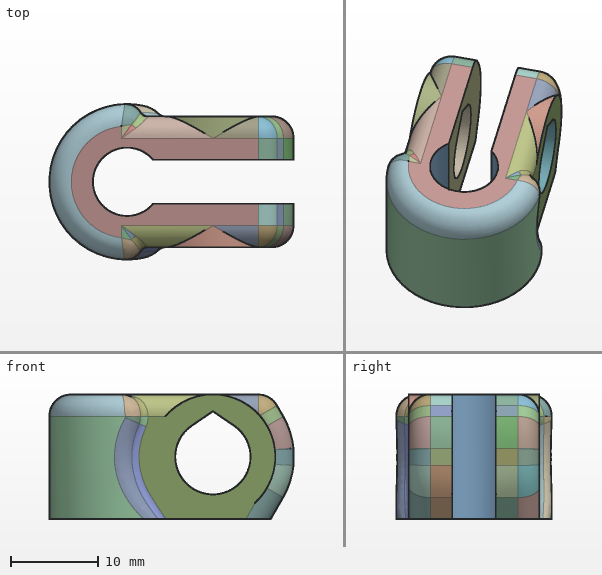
import cadquery as cq
import math

height = 14.3
overall_length = 28.0
collar_radius = 8.92
bore_radius = 3.9
slot_width = 5.0
ears_width = 15.0
edge_radius = 2.5

pivot_x = 9.83
pivot_hole_radius = 4.3
teardrop_peak = 5.2
nose_radius = 9.3
flank_angle = math.radians(30)

relief_radius = 8.98
relief_corner_radius = 2.0
blend_radius = 1.0

ear_start_x = -2.0
tolerance = 0.01

pivot_z = height / 2
pad_radius = height / 2
ear_face_y = ears_width / 2
nose_x = overall_length - collar_radius


def cylinder_about_pivot(radius, half_width):
    """Cylinder on the pivot axis, symmetric about the XZ plane."""
    return (
        cq.Workplane("XZ")
        .center(pivot_x, pivot_z)
        .circle(radius)
        .extrude(half_width, both=True)
    )


def make_collar():
    """Round collar cut back around the pivot, with its top and relief edges rounded."""
    collar = cq.Workplane("XY").circle(collar_radius).extrude(height)
    collar = collar.cut(cylinder_about_pivot(relief_radius, collar_radius))
    collar = collar.edges(">Z").fillet(edge_radius)
    relief_corners = [
        edge
        for edge in collar.edges().vals()
        if edge.BoundingBox().zmin < tolerance and edge.BoundingBox().zmax > pivot_z
    ]
    return collar.newObject(relief_corners).fillet(relief_corner_radius)


def make_ears():
    """Both ears as one block: leaning flanks, a round nose with a flat end, pivot pads."""
    tangent_x = pivot_x + nose_radius * math.cos(flank_angle)
    tangent_rise = nose_radius * math.sin(flank_angle)
    flank_end_x = tangent_x - (pivot_z - tangent_rise) * math.tan(flank_angle)
    ears = (
        cq.Workplane("XZ")
        .moveTo(ear_start_x, 0)
        .lineTo(flank_end_x, 0)
        .lineTo(tangent_x, pivot_z - tangent_rise)
        .threePointArc((pivot_x + nose_radius, pivot_z), (tangent_x, pivot_z + tangent_rise))
        .lineTo(flank_end_x, height)
        .lineTo(ear_start_x, height)
        .close()
        .extrude(ear_face_y, both=True)
    )
    flat_end_block = (
        cq.Workplane("XY", origin=(ear_start_x, 0, 0))
        .box(nose_x - ear_start_x, ears_width, height, centered=(False, True, False))
    )
    ears = ears.intersect(flat_end_block)
    ears = ears.edges("|Y").edges(">Z").edges(">X").fillet(edge_radius)
    ears = ears.faces("<Y or >Y").edges("not(<Z or <X)").fillet(edge_radius)
    return ears.union(cylinder_about_pivot(pad_radius, ear_face_y))


def lies_on_surface(edge, body):
    """True when sample points along the edge all touch the body's outer surface."""
    shell = body.val().Shells()[0]
    samples = [edge.positionAt(fraction) for fraction in (0.25, 0.5, 0.75)]
    return all(shell.distance(cq.Vertex.makeVertex(*point.toTuple())) < tolerance for point in samples)


def blend_together(collar, ears):
    """Join collar and ears, with a concave blend along the seam where they meet."""
    joined = collar.union(ears)
    seam = [
        edge
        for edge in joined.edges().vals()
        if tolerance < edge.Center().z < height - tolerance
        and lies_on_surface(edge, collar)
        and lies_on_surface(edge, ears)
    ]
    return joined.newObject(seam).fillet(blend_radius)


def make_bore():
    """Vertical bore through the collar."""
    return cq.Workplane("XY").circle(bore_radius).extrude(height)


def make_slot():
    """Slot between the ears, from the bore out through the nose."""
    return cq.Workplane("XY").box(overall_length, slot_width, height, centered=(False, True, False))


def make_pivot_hole():
    """Teardrop hole: round below, two flats tangent to the circle meeting at a peak."""
    flat_angle = math.acos(pivot_hole_radius / teardrop_peak)
    tangent_x = pivot_hole_radius * math.sin(flat_angle)
    tangent_z = pivot_hole_radius * math.cos(flat_angle)
    return (
        cq.Workplane("XZ", origin=(pivot_x, 0, pivot_z))
        .moveTo(0, teardrop_peak)
        .lineTo(tangent_x, tangent_z)
        .threePointArc((0, -pivot_hole_radius), (-tangent_x, tangent_z))
        .close()
        .extrude(ears_width, both=True)
    )


clamp = blend_together(make_collar(), make_ears())
result = clamp.cut(make_bore()).cut(make_slot()).cut(make_pivot_hole())